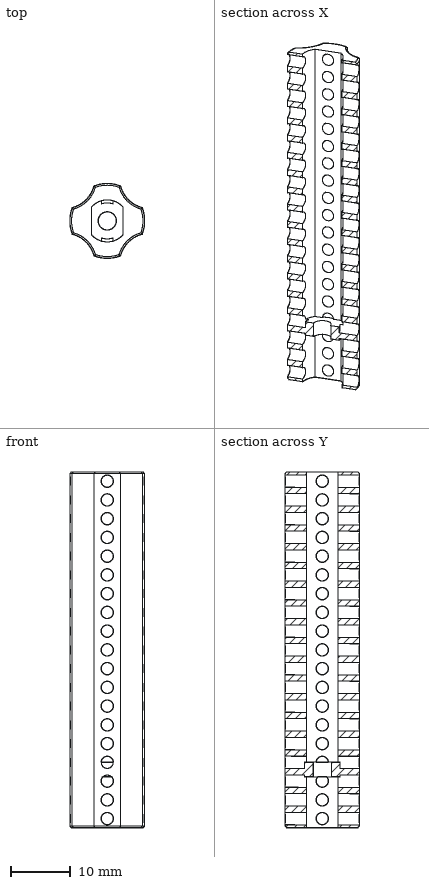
import cadquery as cq

hole_pitch = 3.125
hole_count = 19
hole_diameter = 2.0
length = hole_count * hole_pitch

outer_diameter = 12.5
flute_radius = 5.0
flute_distance = 10.0
flute_count = 4
end_chamfer = 0.3

bore_diameter = 7.0
bore_flat_width = 5.25
web_bottom = 8.5
web_top = 11.0
web_hole_diameter = 3.0
web_core_diameter = 6.0


def lobed_body():
    """Round bar with four flutes between its lobes, chamfered at both ends."""
    flutes = (
        cq.Workplane("XY")
        .polarArray(flute_distance, 180 / flute_count, 360, flute_count)
        .circle(flute_radius)
        .extrude(length)
    )
    bar = cq.Workplane("XY").circle(outer_diameter / 2).extrude(length)
    return bar.cut(flutes).faces("<Z or >Z").edges().chamfer(end_chamfer)


def flatted_bore(bottom, top):
    """Bore section between two heights, with its flats facing X."""
    depth = top - bottom
    plane = cq.Workplane("XY").workplane(offset=bottom)
    flats = plane.rect(bore_flat_width, bore_diameter).extrude(depth)
    return plane.circle(bore_diameter / 2).extrude(depth).intersect(flats)


def cross_holes(plane_name):
    """Row of through holes along the length, normal to the named plane."""
    centers = [(0, (index + 0.5) * hole_pitch) for index in range(hole_count)]
    return (
        cq.Workplane(plane_name)
        .pushPoints(centers)
        .circle(hole_diameter / 2)
        .extrude(outer_diameter, both=True)
    )


def web_core():
    """Round core that closes the cross holes inside the web."""
    return (
        cq.Workplane("XY")
        .workplane(offset=web_bottom)
        .circle(web_core_diameter / 2)
        .extrude(web_top - web_bottom)
    )


def web_hole():
    """Axial hole through the web."""
    return cq.Workplane("XY").circle(web_hole_diameter / 2).extrude(length)


result = lobed_body()
result = result.cut(flatted_bore(0, web_bottom))
result = result.cut(flatted_bore(web_top, length))
for plane_name in ("XZ", "YZ"):
    result = result.cut(cross_holes(plane_name))
result = result.union(web_core()).cut(web_hole())